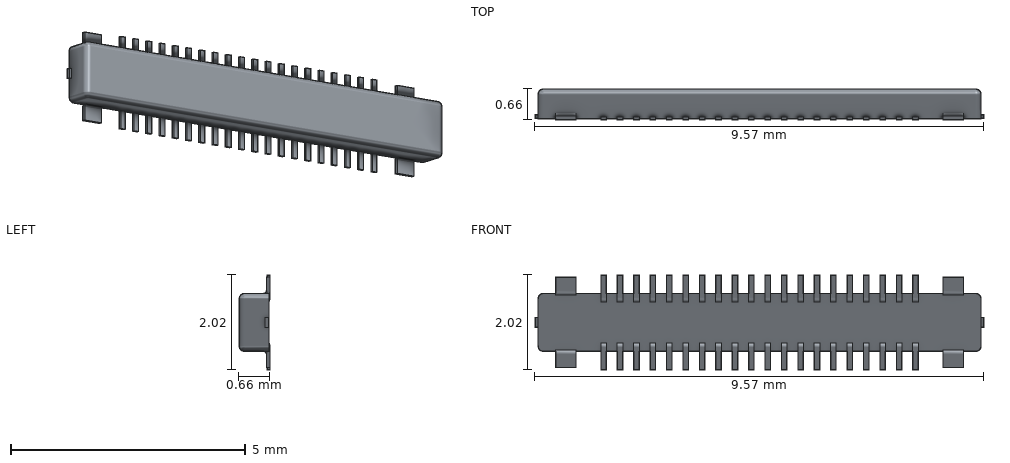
import cadquery as cq

HOUSING_LENGTH = 9.45
HOUSING_HEIGHT = 1.24
HOUSING_FRONT = 0.02
HOUSING_BACK = 0.66
HOUSING_ROUNDING = 0.12

CONTACTS_PER_ROW = 20
CONTACT_PITCH = 0.35
CONTACT_WIDTH = 0.12
CONTACT_THICKNESS = 0.06
CONTACT_TIP = 1.01
CONTACT_BEND = 0.535
CONTACT_ROOT = 0.44

TAB_SPACING = 8.26
TAB_WIDTH = 0.44
TAB_THICKNESS = 0.08
TAB_TIP = 0.965
TAB_BEND = 0.68
TAB_ROOT = 0.585
TAB_BACK_RADIUS = TAB_BEND - HOUSING_HEIGHT / 2
TAB_ROOT_BACK = TAB_THICKNESS + TAB_BACK_RADIUS

OVERALL_LENGTH = 9.57
NUB_HEIGHT = 0.21
NUB_DEPTH = 0.08
NUB_SETBACK = 0.01


def make_housing():
    depth = HOUSING_BACK - HOUSING_FRONT
    block = cq.Workplane("XY").box(HOUSING_LENGTH, depth, HOUSING_HEIGHT)
    block = block.translate((0, HOUSING_FRONT + depth / 2, 0))
    return block.edges("|Y or >Y").fillet(HOUSING_ROUNDING)


def make_contact():
    """Flat lead whose inner end curves down into the housing front face."""
    outline = (
        cq.Workplane("YZ")
        .moveTo(0, CONTACT_TIP)
        .lineTo(0, CONTACT_BEND)
        .tangentArcPoint((HOUSING_FRONT, CONTACT_ROOT), relative=False)
        .lineTo(CONTACT_THICKNESS, CONTACT_ROOT)
        .lineTo(CONTACT_THICKNESS, CONTACT_TIP)
        .close()
    )
    return outline.extrude(CONTACT_WIDTH / 2, both=True)


def make_tab():
    """Flat tab whose inner end curves into the front face and the long wall of the housing."""
    outline = (
        cq.Workplane("YZ")
        .moveTo(TAB_ROOT_BACK, TAB_ROOT)
        .lineTo(TAB_ROOT_BACK, HOUSING_HEIGHT / 2)
        .radiusArc((TAB_THICKNESS, TAB_BEND), TAB_BACK_RADIUS)
        .lineTo(TAB_THICKNESS, TAB_TIP)
        .lineTo(0, TAB_TIP)
        .lineTo(0, TAB_BEND)
        .tangentArcPoint((HOUSING_FRONT, TAB_ROOT), relative=False)
        .close()
    )
    return outline.extrude(TAB_WIDTH / 2, both=True)


def make_nub_bar():
    """Bar through the housing whose ends form both nubs."""
    bar = cq.Workplane("XY").box(OVERALL_LENGTH, NUB_DEPTH, NUB_HEIGHT)
    return bar.translate((0, HOUSING_FRONT + NUB_SETBACK + NUB_DEPTH / 2, 0))


def make_connector():
    contact = make_contact()
    tab = make_tab()
    connector = make_housing().union(make_nub_bar())
    first_contact_x = -(CONTACTS_PER_ROW - 1) * CONTACT_PITCH / 2
    upper_parts = [
        contact.translate((first_contact_x + i * CONTACT_PITCH, 0, 0))
        for i in range(CONTACTS_PER_ROW)
    ]
    upper_parts += [tab.translate((side * TAB_SPACING / 2, 0, 0)) for side in (-1, 1)]
    for part in upper_parts:
        connector = connector.union(part).union(part.mirror("XY"))
    return connector


result = make_connector()